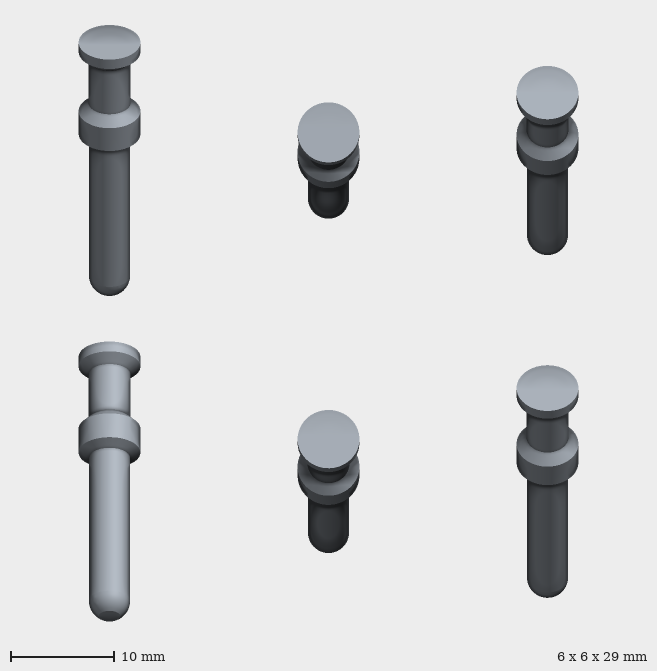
import cadquery as cq
import math

total_length = 29.0
flange_radius = 6.0 / 2
neck_radius = 4.1 / 2
pin_radius = 4.0 / 2

head_rim = 1.1
head_taper = 0.87
neck_length = 5.08
collar_upper_taper = 1.0
collar_rim = 2.67
collar_lower_taper = 0.6
tip_length = 1.7

head_rim_bottom = total_length - head_rim
neck_top = head_rim_bottom - head_taper
neck_bottom = neck_top - neck_length
collar_rim_top = neck_bottom - collar_upper_taper
collar_rim_bottom = collar_rim_top - collar_rim
pin_top = collar_rim_bottom - collar_lower_taper

tip_end_angle = math.asin(tip_length / pin_radius)
tip_end_radius = pin_radius * math.cos(tip_end_angle)
tip_middle = (
    pin_radius * math.cos(tip_end_angle / 2),
    tip_length - pin_radius * math.sin(tip_end_angle / 2),
)

profile = (
    cq.Workplane("XZ")
    .moveTo(0, 0)
    .lineTo(tip_end_radius, 0)
    .threePointArc(tip_middle, (pin_radius, tip_length))
    .lineTo(pin_radius, pin_top)
    .lineTo(flange_radius, collar_rim_bottom)
    .lineTo(flange_radius, collar_rim_top)
    .lineTo(neck_radius, neck_bottom)
    .lineTo(neck_radius, neck_top)
    .lineTo(flange_radius, head_rim_bottom)
    .lineTo(flange_radius, total_length)
    .lineTo(0, total_length)
    .close()
)
result = profile.revolve(360, (0, 0, 0), (0, 1, 0))